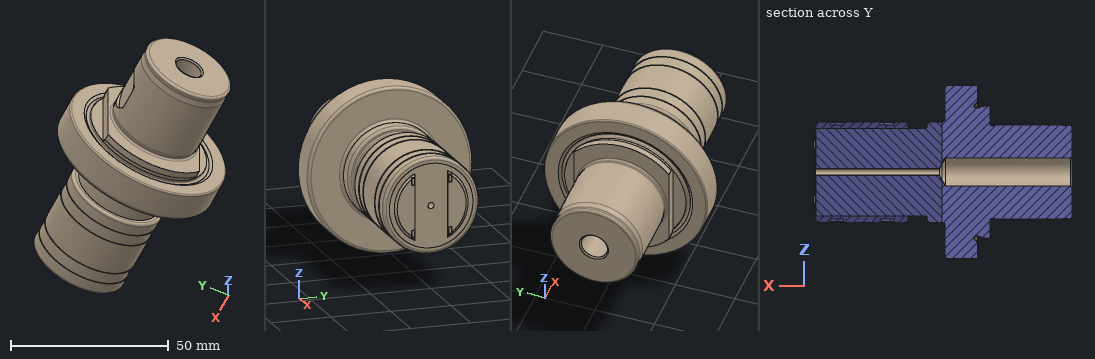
import cadquery as cq
import math


journal_radius = 15.0
journal_end_radius = 14.95
journal_relief_radius = 14.75
end_round = 0.9
front_relief_bottom = 1.8
relief_bottom_width = 0.25
front_relief_end = 4.0
rear_relief_start = 24.25
rear_relief_bottom = 25.05
relief_fillet = 0.6

collar_start = 26.0
collar_radius = 21.0
collar_chamfer_start = 28.2
collar_end = 29.65
collar_end_radius = 20.4
flat_half_width = 16.0

flange_start = 29.85
flange_end = 40.3
flange_radius = 27.5
flange_front_round = 0.5
flange_rear_round = 1.0
groove_mouth_radius = 22.6
groove_radius = 21.6
groove_mouth_angle = 30.0
boss_fillet = 0.95

notch_x = 15.75
notch_radius = 6.6
notch_floor = 13.9

bore_radius = 4.4
bore_chamfer = 0.5
bore_chamfer_angle = 45.0
cone_end_radius = 2.5
coolant_radius = 1.0
shank_cone_half_angle = 59.0
spindle_cone_half_angle = 62.0

boss_radius = 16.0
boss_end = 46.0
boss_end_round = 1.0
neck_radius = 13.95
neck_fillet = 0.5

sleeve_start = 51.9
sleeve_end = 81.25
sleeve_radius = 16.0
sleeve_round = 1.0
ring_starts = (56.55, 72.45)
ring_width = 4.2
ring_radius = 15.8
ring_thickness = 0.8

lug_radius = 12.3
lug_height = 0.5
lug_face_radius = 11.5
lug_slot_width = 11.0
overall_length = 82.0
pad_length = 2.5
pad_width = 1.0
pad_offset_y = 6.2
pad_offset_z = 8.7

shank_end = flange_end + boss_fillet
diagonal = math.sqrt(0.5)


def turned(profile):
    """Close a half profile drawn as (x, radius) and revolve it about the X axis."""
    return profile.close().revolve(360, (0, 0, 0), (1, 0, 0))


def rod(start, end, radius):
    """Solid cylinder on the X axis."""
    return cq.Workplane("YZ", origin=(start, 0, 0)).circle(radius).extrude(end - start)


def cone(start, start_radius, end_radius, half_angle):
    """Narrowing cone along +X."""
    length = (start_radius - end_radius) / math.tan(math.radians(half_angle))
    outline = cq.Workplane("XY").moveTo(start, 0).lineTo(start, start_radius)
    return turned(outline.lineTo(start + length, end_radius).lineTo(start + length, 0))


def arc(profile, center_x, center_radius, arc_radius, middle_direction, end_direction):
    """Add an arc about a centre, through a middle direction (unit vector) to an end direction."""
    points = [
        (center_x + arc_radius * dx, center_radius + arc_radius * dr)
        for dx, dr in (middle_direction, end_direction)
    ]
    return profile.threePointArc(*points)


def make_shank():
    """Journal, collar and flange in one turned piece with a central bore."""
    q = diagonal
    lip_depth = (groove_mouth_radius - groove_radius) * math.tan(math.radians(groove_mouth_angle))
    groove_lip_end = flange_start + lip_depth
    groove_bottom_radius = (groove_radius - collar_end_radius) / 2
    groove_middle = (groove_radius + collar_end_radius) / 2

    p = cq.Workplane("XY").moveTo(0, 0).lineTo(0, journal_end_radius - end_round)
    p = arc(p, end_round, journal_end_radius - end_round, end_round, (-q, q), (0, 1))
    p = p.lineTo(front_relief_bottom, journal_relief_radius)
    p = p.lineTo(front_relief_bottom + relief_bottom_width, journal_relief_radius)
    p = p.lineTo(front_relief_end, journal_radius).lineTo(rear_relief_start, journal_radius)
    p = p.lineTo(rear_relief_bottom, journal_relief_radius)
    p = p.lineTo(collar_start - relief_fillet, journal_relief_radius)
    p = arc(
        p, collar_start - relief_fillet, journal_relief_radius + relief_fillet, relief_fillet, (q, -q), (1, 0)
    )
    p = p.lineTo(collar_start, collar_radius).lineTo(collar_chamfer_start, collar_radius)
    p = p.lineTo(collar_end, collar_end_radius).lineTo(groove_lip_end, collar_end_radius)
    p = arc(p, groove_lip_end, groove_middle, groove_bottom_radius, (1, 0), (0, 1))
    p = p.lineTo(flange_start, groove_mouth_radius)
    front_round_radius = flange_radius - flange_front_round
    p = p.lineTo(flange_start, front_round_radius)
    p = arc(p, flange_start + flange_front_round, front_round_radius, flange_front_round, (-q, q), (0, 1))
    p = p.lineTo(flange_end - flange_rear_round, flange_radius)
    rear_round_radius = flange_radius - flange_rear_round
    p = arc(p, flange_end - flange_rear_round, rear_round_radius, flange_rear_round, (q, q), (1, 0))
    p = p.lineTo(flange_end, boss_radius + boss_fillet)
    p = arc(p, shank_end, boss_radius + boss_fillet, boss_fillet, (-q, -q), (0, -1))
    body = turned(p.lineTo(shank_end, 0))

    for side in (1, -1):
        cutter = cq.Workplane("XY").box(
            collar_end - collar_start, collar_radius, 2 * collar_radius, centered=(False, True, True)
        )
        body = body.cut(cutter.translate((collar_start, side * (flat_half_width + collar_radius / 2), 0)))

    notch = cq.Workplane("XZ", origin=(notch_x, notch_floor, 0)).circle(notch_radius).extrude(-journal_radius)
    body = body.cut(notch)

    cone_length = (bore_radius - cone_end_radius) / math.tan(math.radians(shank_cone_half_angle))
    cone_start = shank_end - cone_length
    body = body.cut(rod(0, cone_start, bore_radius))
    body = body.cut(cone(cone_start, bore_radius, cone_end_radius, shank_cone_half_angle))
    return body.cut(cone(0, bore_radius + bore_chamfer, bore_radius, bore_chamfer_angle))


def make_spindle():
    """Boss and neck behind the flange, running through the sleeve to the drive lugs."""
    q = diagonal
    p = cq.Workplane("XY").moveTo(shank_end, 0).lineTo(shank_end, boss_radius)
    p = p.lineTo(boss_end - boss_end_round, boss_radius)
    p = arc(p, boss_end - boss_end_round, boss_radius - boss_end_round, boss_end_round, (q, q), (1, 0))
    p = p.lineTo(boss_end, neck_radius + neck_fillet)
    p = arc(p, boss_end + neck_fillet, neck_radius + neck_fillet, neck_fillet, (-q, -q), (0, -1))
    body = turned(p.lineTo(sleeve_end, neck_radius).lineTo(sleeve_end, 0))

    lug_face = sleeve_end + lug_height
    outline = cq.Workplane("XY").moveTo(sleeve_end, 0).lineTo(sleeve_end, lug_radius)
    disc = turned(outline.lineTo(lug_face, lug_face_radius).lineTo(lug_face, 0))
    slot = cq.Workplane("XY").box(lug_height, lug_slot_width, 2 * lug_radius, centered=(False, True, True))
    body = body.union(disc.cut(slot.translate((sleeve_end, 0, 0))))

    pad_height = overall_length - lug_face
    for y in (-pad_offset_y, pad_offset_y):
        for z in (-pad_offset_z, pad_offset_z):
            pad = cq.Workplane("XY").box(pad_height, pad_width, pad_length, centered=(False, True, True))
            body = body.union(pad.translate((lug_face, y, z)))

    body = body.cut(cone(shank_end, cone_end_radius, coolant_radius, spindle_cone_half_angle))
    return body.cut(rod(shank_end, overall_length, coolant_radius))


def make_ring(start):
    """Thin ring inlaid in the sleeve."""
    end = start + ring_width
    return rod(start, end, ring_radius).cut(rod(start, end, ring_radius - ring_thickness))


def make_sleeve():
    """Rounded sleeve around the neck, with a seat for each inlaid ring."""
    body = rod(sleeve_start, sleeve_end, sleeve_radius).edges("%CIRCLE").fillet(sleeve_round)
    body = body.cut(rod(sleeve_start, sleeve_end, neck_radius))
    for start in ring_starts:
        end = start + ring_width
        seat = rod(start, end, sleeve_radius).cut(rod(start, end, ring_radius - ring_thickness))
        body = body.cut(seat)
    return body


shank = make_shank()
spindle = make_spindle()
sleeve = make_sleeve()
rings = [make_ring(start) for start in ring_starts]

result = cq.Compound.makeCompound(
    [shank.val(), spindle.val(), sleeve.val(), *[ring.val() for ring in rings]]
)